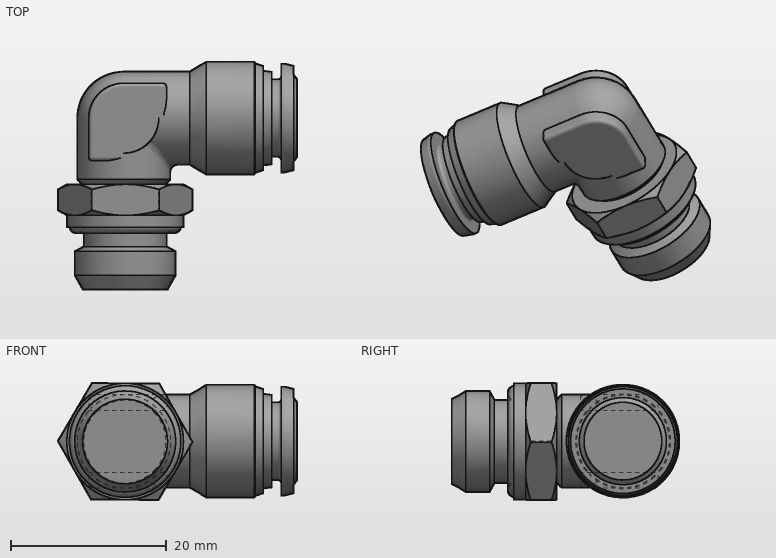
import cadquery as cq
import math


body_radius = 6.0
stud_leg_end = 8.5
stud_leg_chamfer = 0.62
socket_leg_end = 8.5
inner_corner_fillet = 0.9

pad_margin = 4.5
pad_reach = 5.5
pad_fillet = 0.5

stud_axis_x = 0.185
stud_axis_z = -0.05
hex_across_flats = 15.0
hex_height = 4.0
hex_turn = 0.47
hex_chamfer_angle = 30.0
collar_radius = 7.5
collar_height = 1.5
seal_section_radius = 0.92
seal_center_radius = 6.26
seal_protrusion = 0.8
neck_radius = 5.35
neck_height = 2.5
thread_radius = 6.5
thread_lead_in = 0.62
thread_length = 3.05
nose_radius = 5.45
stud_end = 22.02

socket_radius = 7.275
socket_cone_end = 10.63
socket_cylinder_end = 16.75
cap_start = 16.9
cap_start_radius = 7.05
cap_end = 17.95
cap_end_radius = 6.7
lip_end = 19.05
lip_start_radius = 6.1
lip_end_radius = 5.95

collet_radius = 5.0
collet_flare_start = 19.8
collet_flare_radius = 0.43
flange_start = collet_flare_start + collet_flare_radius
flange_cylinder_end = 20.7
flange_end = 21.83
flange_radius = 7.0
flange_end_radius = 6.72
collet_cone_radius = 5.6
collet_end = 22.295

hex_end = stud_leg_end + hex_height
collar_end = hex_end + collar_height
neck_end = collar_end + neck_height
thread_start = neck_end + thread_lead_in
thread_end = thread_start + thread_length
hex_circumradius = hex_across_flats / math.sqrt(3)

cone_clearance = 0.5
pick_size = 2.0


def box_around(x, y):
    """Selector for the edges whose centre lies near (x, y), over the full body height."""
    half = pick_size / 2
    return cq.selectors.BoxSelector(
        (x - half, y - half, -body_radius), (x + half, y + half, body_radius)
    )


def make_elbow():
    """Two equal cylinders joined by a ball, with the inner corner rounded."""
    stud_leg = (
        cq.Workplane("XZ")
        .circle(body_radius)
        .extrude(stud_leg_end)
        .faces("<Y")
        .chamfer(stud_leg_chamfer)
    )
    socket_leg = cq.Workplane("YZ").circle(body_radius).extrude(socket_leg_end)
    centroid = body_radius * 2 / math.pi
    inner_corner = box_around(centroid, -centroid)
    ball = cq.Workplane("XY").sphere(body_radius)
    legs = stud_leg.union(socket_leg)
    legs = legs.edges(inner_corner).fillet(inner_corner_fillet)
    return legs.union(ball)


def make_grip_pads():
    """One plate through the elbow; only its flats and edges stand out of the round body."""
    plate = (
        cq.Workplane("XY", origin=(0, 0, -body_radius))
        .moveTo(-pad_margin, -pad_reach)
        .lineTo(-pad_margin, 0)
        .radiusArc((0, pad_margin), pad_margin)
        .lineTo(pad_reach, pad_margin)
        .lineTo(pad_reach, -pad_reach)
        .close()
        .extrude(2 * body_radius)
    )
    stud_side_corner = box_around(-pad_margin, -pad_reach)
    socket_side_corner = box_around(pad_reach, pad_margin)
    end_corners = plate.edges("|Z").edges(stud_side_corner + socket_side_corner)
    plate = end_corners.fillet(pad_fillet)
    plate = plate.faces("<Z or >Z").edges().fillet(pad_fillet)

    trim = (
        cq.Workplane("XY")
        .moveTo(pad_margin, 0)
        .radiusArc((0, -pad_margin), pad_margin)
        .lineTo(0, -2 * pad_reach)
        .lineTo(2 * pad_reach, -2 * pad_reach)
        .lineTo(2 * pad_reach, 0)
        .close()
        .extrude(body_radius, both=True)
    )
    return plate.cut(trim)


def make_hexagon():
    """Hexagon with both ends chamfered by a cone that starts at the flats."""
    prism = (
        cq.Workplane("XZ", origin=(0, -stud_leg_end, 0))
        .polygon(6, 2 * hex_circumradius)
        .extrude(hex_height)
        .rotate((0, 0, 0), (0, 1, 0), hex_turn)
    )
    flat_radius = hex_across_flats / 2
    cone_radius = hex_circumradius + cone_clearance
    cone_depth = (cone_radius - flat_radius) * math.tan(math.radians(hex_chamfer_angle))
    outline = (
        cq.Workplane("XY")
        .moveTo(0, -stud_leg_end)
        .lineTo(flat_radius, -stud_leg_end)
        .lineTo(cone_radius, -stud_leg_end - cone_depth)
        .lineTo(cone_radius, -hex_end + cone_depth)
        .lineTo(flat_radius, -hex_end)
        .lineTo(0, -hex_end)
        .close()
    )
    return prism.intersect(outline.revolve(360, (0, 0, 0), (0, 1, 0)))


def make_stud():
    """Collar, sealing ring, relief neck and thread envelope."""
    turned = (
        cq.Workplane("XY")
        .moveTo(0, -hex_end)
        .lineTo(collar_radius, -hex_end)
        .lineTo(collar_radius, -collar_end)
        .lineTo(neck_radius, -collar_end)
        .lineTo(neck_radius, -neck_end)
        .lineTo(thread_radius, -thread_start)
        .lineTo(thread_radius, -thread_end)
        .lineTo(nose_radius, -stud_end)
        .lineTo(0, -stud_end)
        .close()
        .revolve(360, (0, 0, 0), (0, 1, 0))
    )
    seal_center_y = -collar_end - seal_protrusion + seal_section_radius
    seal = (
        cq.Workplane("XY")
        .center(seal_center_radius, seal_center_y)
        .circle(seal_section_radius)
        .revolve(360, (-seal_center_radius, 0, 0), (-seal_center_radius, 1, 0))
    )
    return turned.union(seal)


def make_socket():
    """Tube socket with its end cap, lip and flanged release collet."""
    flare_mid = collet_flare_radius * math.sqrt(0.5)
    flare_center_radius = collet_radius + collet_flare_radius
    profile = (
        cq.Workplane("XY")
        .moveTo(socket_leg_end, 0)
        .lineTo(socket_leg_end, body_radius)
        .lineTo(socket_cone_end, socket_radius)
        .lineTo(socket_cylinder_end, socket_radius)
        .lineTo(cap_start, cap_start_radius)
        .lineTo(cap_end, cap_end_radius)
        .lineTo(cap_end, lip_start_radius)
        .lineTo(lip_end, lip_end_radius)
        .lineTo(lip_end, collet_radius)
        .lineTo(collet_flare_start, collet_radius)
        .threePointArc(
            (collet_flare_start + flare_mid, flare_center_radius - flare_mid),
            (flange_start, flare_center_radius),
        )
        .lineTo(flange_start, flange_radius)
        .lineTo(flange_cylinder_end, flange_radius)
        .lineTo(flange_end, flange_end_radius)
        .lineTo(flange_end, collet_cone_radius)
        .lineTo(collet_end, collet_radius)
        .lineTo(collet_end, 0)
        .close()
    )
    return profile.revolve(360, (0, 0, 0), (1, 0, 0))


stud = make_hexagon().union(make_stud()).translate((stud_axis_x, 0, stud_axis_z))
result = make_elbow().union(make_grip_pads()).union(make_socket()).union(stud)